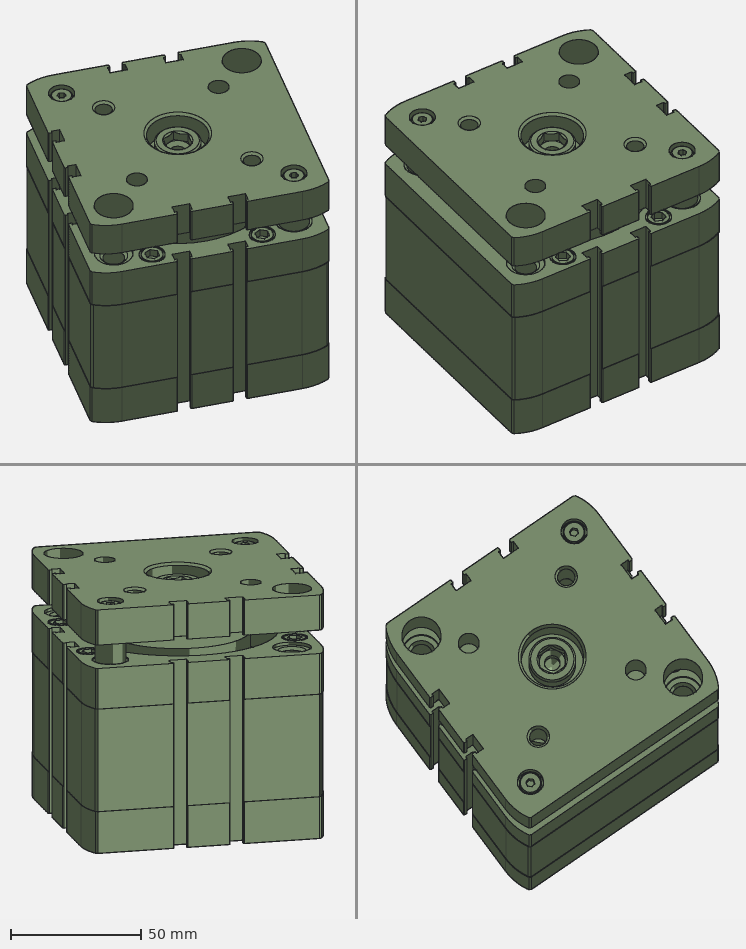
import cadquery as cq
import math

SIDE = 95.5
HALF = SIDE / 2
TOTAL_HEIGHT = 96.9
PLATE_THICKNESS = 14.0
STROKE_GAP = 9.3
PLATE_BOTTOM = TOTAL_HEIGHT - PLATE_THICKNESS
HOUSING_HEIGHT = PLATE_BOTTOM - STROKE_GAP

TOP_END_HEIGHT = 16.2
BOTTOM_END_HEIGHT = 16.6
BARREL_INSET = 0.2

CORNER_START_Y = 36.0
CORNER_END_X = 44.8
CORNER_ARC_RADIUS = 22.9
CORNER_FLAT = 0.9
END_CORNER_DROP = 0.5
BARREL_CORNER_DROP = 0.9

SLOT_OFFSET = 11.15
SLOT_DEPTH = 4.8
SLOT_WIDTH = 7.0
SLOT_MOUTH_WIDTH = 5.2
SLOT_LIP = 1.5
SLOT_MOUTH_CHAMFER = 0.35

CORNER_PITCH = 72.0
CORNER_POSITION = CORNER_PITCH / 2
GUIDE_DIAMETER = 12.0
GUIDE_SEAT_DIAMETER = 14.0
GUIDE_SEAT_DEPTH = 0.5
ACCESS_HOLE_DIAMETER = 15.0
MOUNT_HOLE_DIAMETER = 8.38
MOUNT_CHAMFER_DIAMETER = 10.7
MOUNT_RECESS_DIAMETER = 14.8
MOUNT_RECESS_DEPTH = 1.2

GUIDE_SCREW_RECESS_DIAMETER = 10.0
GUIDE_SCREW_RECESS_DEPTH = 3.0
GUIDE_SCREW_HEAD_DIAMETER = 8.5
GUIDE_SCREW_HEAD_CHAMFER = 0.4
GUIDE_SCREW_TOP_DEPTH = 1.0
GUIDE_SCREW_HEX = 3.0
GUIDE_SCREW_HEX_DEPTH = 2.5
GUIDE_SCREW_HEX_TURN = 15.0

ATTACH_CIRCLE_DIAMETER = 65.0
ATTACH_POSITION = ATTACH_CIRCLE_DIAMETER / 2 * math.sqrt(0.5)
DOWEL_HOLE_DIAMETER = 8.0
THREAD_HOLE_DIAMETER = 6.65
THREAD_CHAMFER_DIAMETER = 8.57

POCKET_DIAMETER = 77.5
BOSS_DIAMETER = 56.0
POCKET_DEPTH = 14.0

ROD_DIAMETER = 20.0
ROD_FLATS = 17.0
ROD_COLLAR_HEIGHT = 1.4
FLAT_RUNOUT_HEIGHT = 0.9
FLAT_RUNOUT_DEPTH = 0.75
ROD_NECK_DIAMETER = 18.0
ROD_NECK_CHAMFER = 0.7
ROD_TOP_DEPTH = 3.5
CENTRE_RECESS_DIAMETER = 24.0
CENTRE_RECESS_CHAMFER = 1.0
CENTRE_RECESS_DEPTH = 10.0
SOCKET_HEX = 10.0
SOCKET_HEX_DEPTH = 4.1
SOCKET_CHAMFER_DIAMETER = 11.6
SOCKET_DRILL_DIAMETER = 6.0
SOCKET_DRILL_DEPTH = 4.0
DRILL_POINT_ANGLE = 118.0

CAP_SCREW_X = 40.7
CAP_SCREW_Y = 22.0
CAP_SCREW_BORE_DIAMETER = 10.0
CAP_SCREW_HEAD_DIAMETER = 8.5
CAP_SCREW_GROOVE_DEPTH = 0.5
CAP_SCREW_HEX = 5.0
CAP_SCREW_HEX_DEPTH = 3.0

ROD_ENGAGEMENT = TOP_END_HEIGHT
ROD_BOTTOM = HOUSING_HEIGHT - ROD_ENGAGEMENT

GUIDE_POINTS = [(CORNER_POSITION, CORNER_POSITION), (-CORNER_POSITION, -CORNER_POSITION)]
MOUNT_POINTS = [(-CORNER_POSITION, CORNER_POSITION), (CORNER_POSITION, -CORNER_POSITION)]
DOWEL_POINTS = [(-ATTACH_POSITION, ATTACH_POSITION), (ATTACH_POSITION, -ATTACH_POSITION)]
THREAD_POINTS = [(ATTACH_POSITION, ATTACH_POSITION), (-ATTACH_POSITION, -ATTACH_POSITION)]
CAP_SCREW_POINTS = [(sx * CAP_SCREW_X, sy * CAP_SCREW_Y) for sx in (-1, 1) for sy in (-1, 1)]


def cylinder(points, diameter, bottom, top):
    """Upright cylinders at the given points, between two heights."""
    return (cq.Workplane("XY", origin=(0, 0, bottom))
            .pushPoints(points).circle(diameter / 2).extrude(top - bottom))


def cone(point, bottom_diameter, top_diameter, bottom, top):
    """Upright cone between two heights; a zero diameter gives a pointed end."""
    return cq.Workplane(cq.Solid.makeCone(
        bottom_diameter / 2, top_diameter / 2, top - bottom,
        pnt=cq.Vector(point[0], point[1], bottom)))


def hexagon(points, across_flats, bottom, top, turn=0.0):
    """Upright hexagonal prisms; without a turn, two flats face along Y."""
    corner_radius = across_flats / math.sqrt(3)
    corner_angles = [math.radians(turn + 60 * i) for i in range(6)]
    corners = [(corner_radius * math.cos(a), corner_radius * math.sin(a)) for a in corner_angles]
    prism = cq.Workplane("XY", origin=(0, 0, bottom)).polyline(corners).close().extrude(top - bottom).val()
    return cq.Workplane("XY").pushPoints(points).eachpoint(lambda place: prism.moved(place))


def block(bottom, top, inset, corner_drop):
    """Square block whose X faces run into the Y faces through large corner arcs."""
    half = HALF - inset
    end_y = half - corner_drop
    corner = CORNER_END_X
    start = CORNER_START_Y
    radius = CORNER_ARC_RADIUS
    flat_x = corner - CORNER_FLAT
    return (cq.Workplane("XY", origin=(0, 0, bottom))
            .moveTo(half, -start)
            .lineTo(half, start).radiusArc((corner, end_y), -radius)
            .lineTo(flat_x, half).lineTo(-flat_x, half)
            .lineTo(-corner, end_y).radiusArc((-half, start), -radius)
            .lineTo(-half, -start).radiusArc((-corner, -end_y), -radius)
            .lineTo(-flat_x, -half).lineTo(flat_x, -half)
            .lineTo(corner, -end_y).radiusArc((half, -start), -radius)
            .close().extrude(top - bottom))


def t_slots(bottom, top):
    """Pairs of chamfered T-slots in the -X, -Y and +X sides; the +Y side stays plain."""
    floor = HALF - SLOT_DEPTH
    lip = HALF - SLOT_LIP
    half_cavity = SLOT_WIDTH / 2
    half_mouth = SLOT_MOUTH_WIDTH / 2
    upper_half = [
        (floor, half_cavity),
        (lip, half_cavity),
        (lip, half_mouth),
        (HALF - SLOT_MOUTH_CHAMFER, half_mouth),
        (HALF, half_mouth + SLOT_MOUTH_CHAMFER),
    ]
    lower_half = [(x, -y) for x, y in reversed(upper_half)]
    slot = (cq.Workplane("XY", origin=(0, 0, bottom))
            .polyline(upper_half + lower_half).close().extrude(top - bottom))
    slots = cq.Workplane("XY")
    for angle in (180, 270, 0):
        for offset in (-SLOT_OFFSET, SLOT_OFFSET):
            slots = slots.add(slot.translate((0, offset, 0)).rotate((0, 0, 0), (0, 0, 1), angle))
    return slots.combine()


def cut_mount_holes(body):
    """Through holes with a chamfered mouth inside a shallow round recess."""
    floor = HOUSING_HEIGHT - MOUNT_RECESS_DEPTH
    chamfer = (MOUNT_CHAMFER_DIAMETER - MOUNT_HOLE_DIAMETER) / 2
    body = body.cut(cylinder(MOUNT_POINTS, MOUNT_HOLE_DIAMETER, 0, HOUSING_HEIGHT))
    body = body.cut(cylinder(MOUNT_POINTS, MOUNT_RECESS_DIAMETER, floor, HOUSING_HEIGHT))
    for point in MOUNT_POINTS:
        body = body.cut(cone(point, MOUNT_HOLE_DIAMETER, MOUNT_CHAMFER_DIAMETER, floor - chamfer, floor))
    return body


def cut_rod_holes(body):
    """Blind holes for the piston rod and guide rods."""
    body = body.cut(cylinder([(0, 0)], ROD_DIAMETER, ROD_BOTTOM, HOUSING_HEIGHT))
    body = body.cut(cylinder(GUIDE_POINTS, GUIDE_DIAMETER, ROD_BOTTOM, HOUSING_HEIGHT))
    return body.cut(cylinder(
        GUIDE_POINTS, GUIDE_SEAT_DIAMETER, HOUSING_HEIGHT - GUIDE_SEAT_DEPTH, HOUSING_HEIGHT))


def cut_cap_screws(body):
    """Ring groove around each screw head, and the hexagon socket in it."""
    groove_floor = HOUSING_HEIGHT - CAP_SCREW_GROOVE_DEPTH
    grooves = cylinder(CAP_SCREW_POINTS, CAP_SCREW_BORE_DIAMETER, groove_floor, HOUSING_HEIGHT)
    heads = cylinder(CAP_SCREW_POINTS, CAP_SCREW_HEAD_DIAMETER, groove_floor, HOUSING_HEIGHT)
    body = body.cut(grooves.cut(heads))
    return body.cut(hexagon(
        CAP_SCREW_POINTS, CAP_SCREW_HEX, HOUSING_HEIGHT - CAP_SCREW_HEX_DEPTH, HOUSING_HEIGHT))


def cut_ring_pocket(body):
    """Deep round groove in the top end that leaves a central boss around the piston rod."""
    floor = HOUSING_HEIGHT - POCKET_DEPTH
    pocket = cylinder([(0, 0)], POCKET_DIAMETER, floor, HOUSING_HEIGHT)
    boss = cylinder([(0, 0)], BOSS_DIAMETER, floor, HOUSING_HEIGHT)
    return body.cut(pocket.cut(boss))


def make_housing():
    barrel_top = HOUSING_HEIGHT - TOP_END_HEIGHT
    body = block(0, BOTTOM_END_HEIGHT, 0, END_CORNER_DROP)
    body = body.union(block(BOTTOM_END_HEIGHT, barrel_top, BARREL_INSET, BARREL_CORNER_DROP))
    body = body.union(block(barrel_top, HOUSING_HEIGHT, 0, END_CORNER_DROP))
    body = body.cut(t_slots(0, HOUSING_HEIGHT))
    body = cut_mount_holes(body)
    body = cut_rod_holes(body)
    body = cut_ring_pocket(body)
    return cut_cap_screws(body)


def make_piston_rod():
    """Round rod with two wrench flats facing along Y and a slimmer neck."""
    flat_top = PLATE_BOTTOM
    collar_top = HOUSING_HEIGHT + ROD_COLLAR_HEIGHT
    flat_bottom = collar_top + FLAT_RUNOUT_HEIGHT
    flat_y = ROD_FLATS / 2
    rod = cylinder([(0, 0)], ROD_DIAMETER, ROD_BOTTOM, PLATE_BOTTOM)
    flat = (cq.Workplane("YZ", origin=(-ROD_DIAMETER / 2, 0, 0))
            .moveTo(flat_y, flat_top).lineTo(flat_y, flat_bottom)
            .lineTo(flat_y + FLAT_RUNOUT_DEPTH, collar_top)
            .lineTo(ROD_DIAMETER, collar_top).lineTo(ROD_DIAMETER, flat_top)
            .close().extrude(ROD_DIAMETER))
    rod = rod.cut(flat).cut(flat.mirror("XZ"))
    neck = cylinder([(0, 0)], ROD_NECK_DIAMETER, PLATE_BOTTOM, TOTAL_HEIGHT - ROD_TOP_DEPTH)
    return rod.union(neck.faces(">Z").chamfer(ROD_NECK_CHAMFER))


def cut_rod_socket(body):
    """Hexagon socket with a conical mouth and a pointed drill hole below it."""
    rod_top = TOTAL_HEIGHT - ROD_TOP_DEPTH
    hex_floor = rod_top - SOCKET_HEX_DEPTH
    mouth_depth = (SOCKET_CHAMFER_DIAMETER - SOCKET_HEX) / 2
    point_slope = math.tan(math.radians(90 - DRILL_POINT_ANGLE / 2))
    seat_depth = SOCKET_HEX / 2 * point_slope
    drill_floor = hex_floor - SOCKET_DRILL_DEPTH
    tip_depth = SOCKET_DRILL_DIAMETER / 2 * point_slope
    centre = (0, 0)
    body = body.cut(hexagon([centre], SOCKET_HEX, hex_floor, rod_top))
    body = body.cut(cone(centre, SOCKET_HEX, SOCKET_CHAMFER_DIAMETER, rod_top - mouth_depth, rod_top))
    body = body.cut(cone(centre, 0, SOCKET_HEX, hex_floor - seat_depth, hex_floor))
    body = body.cut(cylinder([centre], SOCKET_DRILL_DIAMETER, drill_floor, hex_floor))
    return body.cut(cone(centre, 0, SOCKET_DRILL_DIAMETER, drill_floor - tip_depth, drill_floor))


def cut_centre_recess(plate):
    recess = cylinder([(0, 0)], CENTRE_RECESS_DIAMETER, TOTAL_HEIGHT - CENTRE_RECESS_DEPTH, TOTAL_HEIGHT)
    chamfer = cone((0, 0), CENTRE_RECESS_DIAMETER, CENTRE_RECESS_DIAMETER + 2 * CENTRE_RECESS_CHAMFER,
                   TOTAL_HEIGHT - CENTRE_RECESS_CHAMFER, TOTAL_HEIGHT)
    return plate.cut(recess).cut(chamfer)


def cut_attachment_holes(plate):
    """Plain dowel holes, chamfered threaded holes and access holes, all through."""
    chamfer = (THREAD_CHAMFER_DIAMETER - THREAD_HOLE_DIAMETER) / 2
    plate = plate.cut(cylinder(DOWEL_POINTS, DOWEL_HOLE_DIAMETER, PLATE_BOTTOM, TOTAL_HEIGHT))
    plate = plate.cut(cylinder(THREAD_POINTS, THREAD_HOLE_DIAMETER, PLATE_BOTTOM, TOTAL_HEIGHT))
    for point in THREAD_POINTS:
        plate = plate.cut(cone(point, THREAD_HOLE_DIAMETER, THREAD_CHAMFER_DIAMETER,
                               TOTAL_HEIGHT - chamfer, TOTAL_HEIGHT))
    return plate.cut(cylinder(MOUNT_POINTS, ACCESS_HOLE_DIAMETER, PLATE_BOTTOM, TOTAL_HEIGHT))


def cut_guide_screws(plate):
    """Recess around a chamfered screw head above each guide rod, with a hexagon socket."""
    head_top = TOTAL_HEIGHT - GUIDE_SCREW_TOP_DEPTH
    floor = TOTAL_HEIGHT - GUIDE_SCREW_RECESS_DEPTH
    recess = cylinder(GUIDE_POINTS, GUIDE_SCREW_RECESS_DIAMETER, floor, TOTAL_HEIGHT)
    heads = cylinder(GUIDE_POINTS, GUIDE_SCREW_HEAD_DIAMETER, floor, head_top)
    heads = heads.faces(">Z").chamfer(GUIDE_SCREW_HEAD_CHAMFER)
    plate = plate.cut(recess.cut(heads))
    return plate.cut(hexagon(
        GUIDE_POINTS, GUIDE_SCREW_HEX, head_top - GUIDE_SCREW_HEX_DEPTH, head_top, GUIDE_SCREW_HEX_TURN))


def make_moving_plate():
    plate = block(PLATE_BOTTOM, TOTAL_HEIGHT, 0, END_CORNER_DROP)
    plate = plate.cut(t_slots(PLATE_BOTTOM, TOTAL_HEIGHT))
    plate = cut_attachment_holes(plate)
    plate = cut_guide_screws(plate)
    plate = cut_centre_recess(plate)
    plate = plate.union(cylinder(GUIDE_POINTS, GUIDE_DIAMETER, ROD_BOTTOM, PLATE_BOTTOM))
    plate = plate.union(make_piston_rod())
    return cut_rod_socket(plate)


housing = make_housing()
moving_plate = make_moving_plate()

result = cq.Compound.makeCompound([housing.val(), moving_plate.val()])